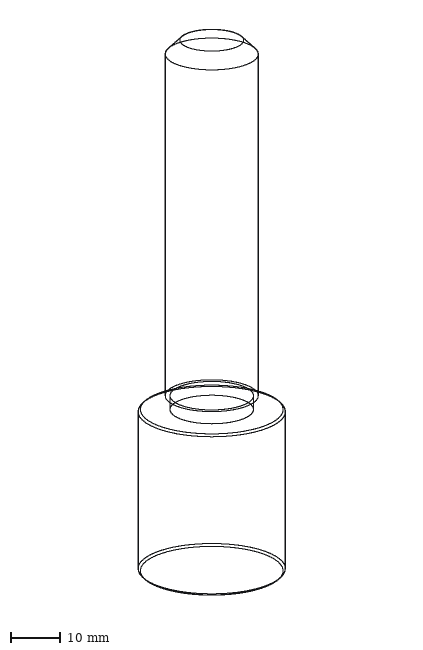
import cadquery as cq

total_length = 115.0
head_diameter = 30.0
head_height = 35.0
head_chamfer = 0.5
neck_diameter = 17.0
neck_height = 3.0
shank_diameter = 19.0
tip_chamfer = 3.0

shank_base = head_height + neck_height
shank_length = total_length - shank_base


def cylinder(diameter, base, height):
    """Cylinder on the Z axis, starting at the given base height."""
    return cq.Workplane("XY").workplane(offset=base).circle(diameter / 2).extrude(height)


head = cylinder(head_diameter, 0, head_height).faces("<Z or >Z").chamfer(head_chamfer)

neck = cylinder(neck_diameter, head_height, neck_height)

shank = cylinder(shank_diameter, shank_base, shank_length)
shank = shank.faces(">Z").chamfer(tip_chamfer)

result = head.union(neck).union(shank)